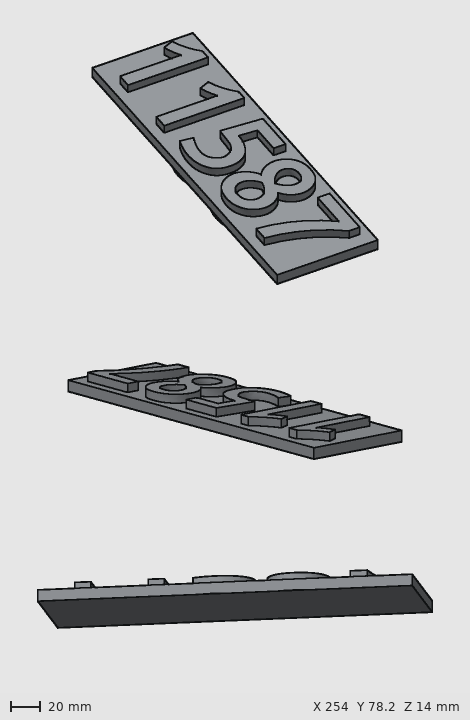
import cadquery as cq


plate_length = 254.0
total_width = 78.2
total_height = 14.0
lobe_overhang = 1.3
plate_width = total_width - lobe_overhang
digit_height = 6.0
backing_thickness = 0.05
plate_top = total_height - digit_height

lobe_width = 20.3

digit_pitch = 49.8
baseline = 8.1
cap_height = 61.2
overshoot = 1.5
bar_height = 9.1
bar_underside = cap_height - bar_height
center_5 = 20.5
center_8 = 23.4


def extrude_digit(outline):
    """Raise a closed digit outline from the top of the plate."""
    return outline.close().extrude(digit_height)


def make_one():
    """The 1: a straight stem with a curved flag."""
    stem_left = 23.5
    stem_right = 34.5
    outline = (
        cq.Workplane("XY")
        .moveTo(stem_left, 0)
        .lineTo(stem_right, 0)
        .lineTo(stem_right, cap_height)
        .lineTo(27.0, cap_height)
        .threePointArc((18.3, 53.8), (8.0, 48.5))
        .lineTo(11.2, 40.6)
        .threePointArc((17.5, 43.2), (stem_left, 46.7))
    )
    return extrude_digit(outline)


def make_five():
    """The 5: a top bar, a leaning neck and an open bowl."""
    bar_right = 41.5
    outer_bowl = [
        (29.5, 36.5), (37.8, 32.0), (42.5, 25.7), (44.0, 17.5), (41.7, 8.1),
        (36.0, 2.5), (29.0, -0.5), (center_5, -overshoot), (11.7, -0.8), (4.0, 1.3),
    ]
    inner_bowl = [
        (12.5, 8.6), (19.3, 7.5), (26.5, 8.6), (31.0, 12.5), (33.3, 18.0),
        (31.5, 23.4), (27.7, 27.2), (20.5, 29.2), (7.5, 30.0),
    ]
    outline = (
        cq.Workplane("XY")
        .moveTo(10.2, cap_height)
        .lineTo(bar_right, cap_height)
        .lineTo(bar_right, bar_underside)
        .lineTo(19.3, bar_underside)
        .lineTo(18.3, 38.4)
        .spline(outer_bowl, includeCurrent=True)
        .lineTo(5.5, 11.0)
        .spline(inner_bowl, includeCurrent=True)
    )
    return extrude_digit(outline)


def make_eight():
    """The 8: two loops that meet at a sharp waist, each with its own opening."""
    waist_left = (12.2, 31.2)
    waist_right = (34.5, 31.5)
    upper_loop = [
        (7.5, 35.3), (3.8, 45.7), (7.4, 56.1), (14.2, 61.2), (center_8, cap_height + overshoot),
        (32.5, 61.2), (39.0, 56.1), (43.0, 45.7), (40.0, 36.5), waist_right,
    ]
    lower_loop = [
        (39.5, 28.0), (44.5, 17.0), (42.2, 8.1), (35.5, 1.5), (center_8, -overshoot),
        (10.7, 1.5), (4.3, 8.1), (2.3, 16.0), (5.3, 25.0), waist_left,
    ]
    upper_opening = [
        (17.3, 40.0), (14.5, 46.5), (16.8, 51.8), (center_8, 53.8), (30.0, 51.8), (32.3, 46.0), (30.2, 40.0),
        (25.1, 34.8),
    ]
    lower_opening = [
        (25.0, 26.2), (31.0, 22.4), (33.5, 16.8), (30.7, 9.7), (center_8, 7.0), (16.0, 9.5), (13.0, 16.0),
        (14.7, 22.0), (20.0, 27.5),
    ]
    outline = (
        cq.Workplane("XY")
        .moveTo(*waist_left)
        .spline(upper_loop, includeCurrent=True)
        .spline(lower_loop, includeCurrent=True)
    )
    digit = extrude_digit(outline)
    for opening in (upper_opening, lower_opening):
        core = cq.Workplane("XY").moveTo(*opening[-1]).spline(opening, includeCurrent=True)
        digit = digit.cut(extrude_digit(core))
    return digit


def make_seven():
    """The 7: a top bar and a curved leg."""
    bar_left = 2.3
    bar_right = 43.7
    outline = (
        cq.Workplane("XY")
        .moveTo(bar_left, cap_height)
        .lineTo(bar_right, cap_height)
        .lineTo(bar_right, 53.0)
        .threePointArc((29.7, 28.5), (22.9, 0))
        .lineTo(11.5, 0)
        .threePointArc((18.3, 29.0), (31.5, bar_underside))
        .lineTo(bar_left, bar_underside)
    )
    return extrude_digit(outline)


def make_plate():
    """The plain rectangular plate that carries the digits."""
    plate = cq.Workplane("XY").box(
        plate_length, plate_width, plate_top - backing_thickness, centered=False
    )
    return plate.translate((0, 0, backing_thickness))


def make_backing():
    """The thin sheet under the plate, with a shallow round lobe below the 5 and the 8."""
    outline = cq.Workplane("XY")
    for lobe_center in (2 * digit_pitch + center_5, 3 * digit_pitch + center_8):
        outline = (
            outline
            .lineTo(lobe_center - lobe_width / 2, 0)
            .threePointArc((lobe_center, -lobe_overhang), (lobe_center + lobe_width / 2, 0))
        )
    outline = outline.lineTo(plate_length, 0).lineTo(plate_length, plate_width).lineTo(0, plate_width)
    return outline.close().extrude(backing_thickness)


backing = make_backing()
plate = make_plate()

digits = []
for cell, make_digit in enumerate((make_one, make_one, make_five, make_eight, make_seven)):
    digits.append(make_digit().translate((cell * digit_pitch, baseline, plate_top)))

result = cq.Compound.makeCompound([backing.val(), plate.val(), *[digit.val() for digit in digits]])